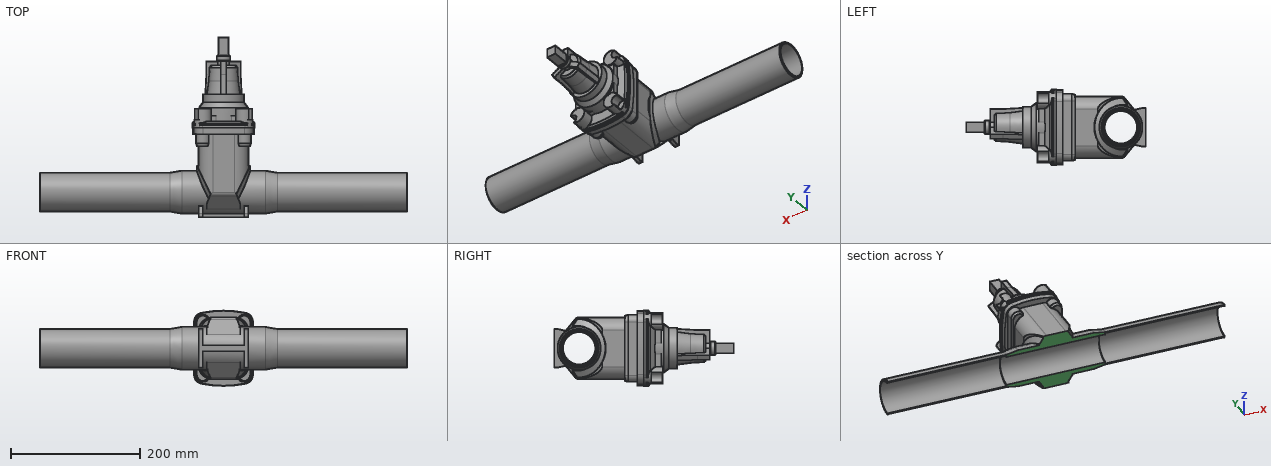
import cadquery as cq
import math


pipe_half_length = 285.0
pipe_diameter = 60.3
pipe_bore = 54.5
body_tube_diameter = 67.0
body_tube_half_length = 64.5
taper_end = 83.5
seat_bore = 50.0
end_chamfer = 1.0

foot_bottom = -38.9
boss_bottom = 71.0
flange_bottom = 90.0
flange_joint = 100.0
groove_bottom = 103.7
groove_top = 106.0
bonnet_flange_top = 110.0
dome_ledge = 118.0
dome_panel_top = 127.5
bonnet_boss_top = 129.5
collar_bottom = 139.0
collar_top = 152.0
cone_kink = 172.5
cone_shoulder = 193.0
cone_top = 196.5
rib_kink = 183.0
rib_top = 202.4
stem_collar_top = 212.0
overall_height = 278.8
stem_top = foot_bottom + overall_height

neck_half_x = 38.9
neck_half_z = 48.0
neck_flat_half_x = 16.3
neck_flat_half_z = 28.4
saddle_tangent_z = 21.5
saddle_edge_radius = 8.0
flank_waist = (20.0, -3.0)
flank_angle = 25.8
saddle_foot_x = 26.0
saddle_foot_y = -18.0
flank_flare_radius = 45.0
flank_flare_tip_radius = 35.0
flank_flare_height = 6.0

flange_length = 117.11
flange_half_z = flange_length / 2
flange_half_x = 48.5
flange_corner_start = (33.0, 55.3)
flange_corner_middle = (41.6, 50.4)
flange_corner_end = (45.8, 41.0)
lower_flange_inset = 0.7
bolt_x = 32.0
bolt_z = 41.4
boss_diameter = 21.6
boss_chamfer_height = 5.0
boss_chamfer_width = 1.7
bonnet_boss_radius = 13.4
bolt_seat = 112.0
bolt_pocket_width = 16.0
bolt_pocket_x = 42.0
bolt_pocket_z = 45.5
flange_top_chamfer = 3.0
groove_depth = 1.2
groove_half_x = 37.0
groove_half_z = 46.0

dome_panel_x = 37.0
dome_panel_half_z = 28.6
dome_base_x = 45.0
dome_base_half_z = 36.0
shoulder_radius = 38.0
shoulder_height = 131.0
collar_radius = 32.0
cone_base_radius = 25.6
cone_kink_radius = 22.9
cone_shoulder_radius = 21.8
cone_top_radius = 19.0
rib_count = 3
rib_width = 8.6
rib_top_radius = 28.4
rib_base_radius = 30.2

stem_square = 16.0
stem_collar_diameter = 21.6
stem_collar_chamfer = 1.8
stem_plug_radius = 9.0

foot_outer_x = 38.6
foot_thickness = 6.8
foot_half_z = 30.0
foot_root_half_z = 27.5
foot_pad_height = 6.0
foot_root_y = -22.0
foot_edge_radius = 1.5
web_half_z = 4.5


def plane_at(y):
    """Horizontal section plane at height y: local x = X, local y = Z, normal = -Y."""
    return cq.Workplane("XZ", origin=(0, y, 0))


def extrude_up(sketch, height):
    """Extrude an XZ sketch toward +Y."""
    return sketch.extrude(-height)


def make_run():
    """Outer skin of the pipe run, thickened around the body."""
    tube_radius = body_tube_diameter / 2
    pipe_radius = pipe_diameter / 2
    profile = (
        cq.Workplane("XY")
        .moveTo(-pipe_half_length, 0)
        .lineTo(-pipe_half_length, pipe_radius - end_chamfer)
        .lineTo(-pipe_half_length + end_chamfer, pipe_radius)
        .lineTo(-taper_end, pipe_radius)
        .lineTo(-body_tube_half_length, tube_radius)
        .lineTo(body_tube_half_length, tube_radius)
        .lineTo(taper_end, pipe_radius)
        .lineTo(pipe_half_length - end_chamfer, pipe_radius)
        .lineTo(pipe_half_length, pipe_radius - end_chamfer)
        .lineTo(pipe_half_length, 0)
        .close()
    )
    return profile.revolve(360, (0, 0, 0), (1, 0, 0))


def make_bore():
    """Through bore: pipe bore at both ends, narrower seat bore in the body."""
    seat = cq.Workplane("YZ").circle(seat_bore / 2).extrude(pipe_half_length, both=True)
    end_length = pipe_half_length - taper_end
    for side in (-1, 1):
        end = cq.Workplane("YZ", origin=(side * taper_end, 0, 0)).circle(pipe_bore / 2)
        seat = seat.union(end.extrude(side * end_length))
    return seat


def make_neck_column():
    """Neck cross-section (flat faces, rounded corners) swept along Y."""
    bottom = -body_tube_diameter / 2
    corner = (
        plane_at(bottom)
        .moveTo(-neck_flat_half_x, neck_half_z)
        .lineTo(neck_flat_half_x, neck_half_z)
        .tangentArcPoint((neck_half_x, neck_flat_half_z), relative=False)
        .lineTo(neck_half_x, 0)
        .lineTo(-neck_flat_half_x, 0)
        .close()
    )
    corner_column = extrude_up(corner, flange_bottom - bottom)
    half = corner_column.union(corner_column.mirror("YZ"))
    return half.union(half.mirror("XY"))


def make_saddle(half_length):
    """Side outline of the body: flat sides closing tangentially round the tube."""
    tube_radius = body_tube_diameter / 2
    tangent_y = -math.sqrt(tube_radius**2 - saddle_tangent_z**2)
    rise = neck_half_z - saddle_tangent_z
    edge_y = tangent_y + rise * saddle_tangent_z / -tangent_y
    outline = (
        cq.Workplane("YZ")
        .moveTo(flange_bottom, neck_half_z)
        .lineTo(edge_y, neck_half_z)
        .lineTo(tangent_y, saddle_tangent_z)
        .threePointArc((-tube_radius, 0), (tangent_y, -saddle_tangent_z))
        .lineTo(edge_y, -neck_half_z)
        .lineTo(flange_bottom, -neck_half_z)
        .close()
    )
    saddle = outline.extrude(half_length, both=True)
    for z in (neck_half_z, -neck_half_z):
        edge = saddle.edges(cq.selectors.NearestToPointSelector((0, edge_y, z)))
        saddle = edge.fillet(saddle_edge_radius)
    return saddle


def flank_x(y):
    """X of the inclined flank at height y."""
    waist_x, waist_y = flank_waist
    return waist_x + (y - waist_y) * math.tan(math.radians(flank_angle))


def make_flank_limit():
    """Wedge that narrows the body below the neck, widening again at the saddle foot."""
    low_y = -body_tube_diameter / 2
    waist_x, waist_y = flank_waist
    high_x = flank_x(flange_bottom)
    outline = [
        (-saddle_foot_x, low_y),
        (saddle_foot_x, low_y),
        (saddle_foot_x, saddle_foot_y),
        (waist_x, waist_y),
        (high_x, flange_bottom),
        (-high_x, flange_bottom),
        (-waist_x, waist_y),
        (-saddle_foot_x, saddle_foot_y),
    ]
    return cq.Workplane("XY").polyline(outline).close().extrude(neck_half_z, both=True)


def make_flank_flare():
    """Conical flare on the +X flank where the body runs out onto the tube."""
    angle = math.radians(flank_angle)
    normal = (math.cos(angle), -math.sin(angle), 0)
    face = cq.Plane(origin=(flank_x(0), 0, 0), xDir=(0, 0, 1), normal=normal)
    root = cq.Workplane(face).circle(flank_flare_radius).extrude(-flank_flare_height)
    flare = (
        cq.Workplane(face)
        .circle(flank_flare_radius)
        .workplane(offset=flank_flare_height)
        .circle(flank_flare_tip_radius)
        .loft(combine=True)
    )
    return root.union(flare)


def make_body():
    saddle = make_saddle(body_tube_half_length)
    body = make_neck_column().intersect(saddle).intersect(make_flank_limit())
    flare = make_flank_flare().intersect(saddle)
    return body.union(flare).union(flare.mirror("YZ"))


def flange_outline(y, inset=0.0):
    """Rounded flange outline with all four sides bowed outward."""
    start, middle, end = [
        (x - inset, z - inset) for x, z in (flange_corner_start, flange_corner_middle, flange_corner_end)
    ]
    half_x = flange_half_x - inset
    half_z = flange_half_z - inset
    return (
        plane_at(y)
        .moveTo(-start[0], start[1])
        .threePointArc((0, half_z), start)
        .threePointArc(middle, end)
        .threePointArc((half_x, 0), (end[0], -end[1]))
        .threePointArc((middle[0], -middle[1]), (start[0], -start[1]))
        .threePointArc((0, -half_z), (-start[0], -start[1]))
        .threePointArc((-middle[0], -middle[1]), (-end[0], -end[1]))
        .threePointArc((-half_x, 0), (-end[0], end[1]))
        .threePointArc((-middle[0], middle[1]), (-start[0], start[1]))
        .close()
    )


def make_flanges():
    lower = extrude_up(
        flange_outline(flange_bottom, lower_flange_inset), flange_joint - flange_bottom
    )
    upper = extrude_up(flange_outline(flange_joint), bonnet_flange_top - flange_joint)
    upper = upper.faces(">Y").chamfer(flange_top_chamfer)
    return lower.union(upper)


def make_joint_groove():
    """Shallow groove above the flange joint, running along the four sides but not the corners."""
    height = groove_top - groove_bottom
    outside = extrude_up(flange_outline(groove_bottom), height)
    core = extrude_up(flange_outline(groove_bottom, groove_depth), height)
    along_x = extrude_up(plane_at(groove_bottom).rect(2 * groove_half_x, 2 * flange_half_z), height)
    along_z = extrude_up(plane_at(groove_bottom).rect(2 * flange_half_x, 2 * groove_half_z), height)
    return outside.cut(core).intersect(along_x.union(along_z))


def make_body_bosses():
    """Bars under the flange on both X sides, joining the bolt bosses in pairs."""
    length = 2 * bolt_z + boss_diameter
    sketch = plane_at(boss_bottom).pushPoints([(-bolt_x, 0), (bolt_x, 0)])
    bars = extrude_up(sketch.slot2D(length, boss_diameter, 90), flange_bottom - boss_bottom)
    return bars.faces("<Y").chamfer(boss_chamfer_height, boss_chamfer_width)


def make_bonnet_bosses():
    sketch = plane_at(flange_joint).rect(2 * bolt_x, 2 * bolt_z, forConstruction=True)
    return extrude_up(sketch.vertices().circle(bonnet_boss_radius), bonnet_boss_top - flange_joint)


def make_bolt_pockets():
    """Round-ended bolt pockets in the bonnet bosses, open toward +X or -X."""
    length = 2 * (flange_half_x - bolt_pocket_x) + bolt_pocket_width
    sketch = plane_at(bolt_seat).rect(2 * flange_half_x, 2 * bolt_pocket_z, forConstruction=True)
    slots = sketch.vertices().slot2D(length, bolt_pocket_width)
    return extrude_up(slots, bonnet_boss_top - bolt_seat)


def make_bonnet():
    """Dome with side panels on a sloped ledge, then collar and gland cone."""
    panel = extrude_up(
        plane_at(bonnet_flange_top).rect(2 * dome_panel_x, 2 * dome_panel_half_z),
        dome_panel_top - bonnet_flange_top,
    )
    ledge_outline = [
        (0, bonnet_flange_top),
        (dome_base_x, bonnet_flange_top),
        (dome_panel_x, dome_ledge),
        (-dome_panel_x, dome_ledge),
        (-dome_base_x, bonnet_flange_top),
    ]
    ledge = cq.Workplane("XY").polyline(ledge_outline).close().extrude(dome_base_half_z, both=True)
    tower = (
        cq.Workplane("XY")
        .moveTo(0, flange_joint)
        .lineTo(shoulder_radius, flange_joint)
        .lineTo(shoulder_radius, shoulder_height)
        .lineTo(collar_radius, collar_bottom)
        .lineTo(collar_radius, collar_top)
        .lineTo(cone_base_radius, collar_top)
        .lineTo(cone_kink_radius, cone_kink)
        .lineTo(cone_shoulder_radius, cone_shoulder)
        .lineTo(cone_top_radius, cone_top)
        .lineTo(0, cone_top)
        .close()
        .revolve(360, (0, 0, 0), (0, 1, 0))
    )
    return tower.union(panel).union(ledge)


def make_ribs():
    """Radial ribs around the gland cone, the first one pointing to +Z."""
    outline = [
        (collar_top, 0),
        (collar_top, rib_base_radius),
        (rib_kink, rib_top_radius),
        (rib_top, rib_top_radius),
        (rib_top, 0),
    ]
    rib = cq.Workplane("YZ").polyline(outline).close().extrude(rib_width / 2, both=True)
    ribs = rib
    for index in range(1, rib_count):
        ribs = ribs.union(rib.rotate((0, 0, 0), (0, 1, 0), index * 360 / rib_count))
    return ribs


def make_stem():
    plug = extrude_up(plane_at(cone_top).circle(stem_plug_radius), rib_top - cone_top)
    collar = extrude_up(
        plane_at(rib_top).circle(stem_collar_diameter / 2), stem_collar_top - rib_top
    )
    collar = collar.edges("%CIRCLE").chamfer(stem_collar_chamfer)
    square_bottom = stem_collar_top - stem_collar_chamfer
    square = extrude_up(
        plane_at(square_bottom).rect(stem_square, stem_square), stem_top - square_bottom
    )
    return plug.union(collar).union(square)


def make_feet():
    """Two foot plates below the body, joined by a web."""
    pad_top = foot_bottom + foot_pad_height
    outline = [
        (foot_bottom, -foot_half_z),
        (foot_bottom, foot_half_z),
        (pad_top, foot_half_z),
        (foot_root_y, foot_root_half_z),
        (0, 0),
        (foot_root_y, -foot_root_half_z),
        (pad_top, -foot_half_z),
    ]
    plate = cq.Workplane("YZ", origin=(foot_outer_x - foot_thickness, 0, 0))
    plate = plate.polyline(outline).close().extrude(foot_thickness)
    plate = plate.edges("|X and <Y").fillet(foot_edge_radius)
    web = cq.Workplane("XY").box(
        2 * foot_outer_x - foot_thickness, -foot_bottom, 2 * web_half_z
    )
    web = web.translate((0, foot_bottom / 2, 0))
    return web.union(plate).union(plate.mirror("YZ"))


result = make_run()
for part in (
    make_body(),
    make_feet(),
    make_body_bosses(),
    make_flanges(),
    make_bonnet(),
    make_bonnet_bosses(),
    make_ribs(),
    make_stem(),
):
    result = result.union(part)
for cutter in (make_bore(), make_joint_groove(), make_bolt_pockets()):
    result = result.cut(cutter)